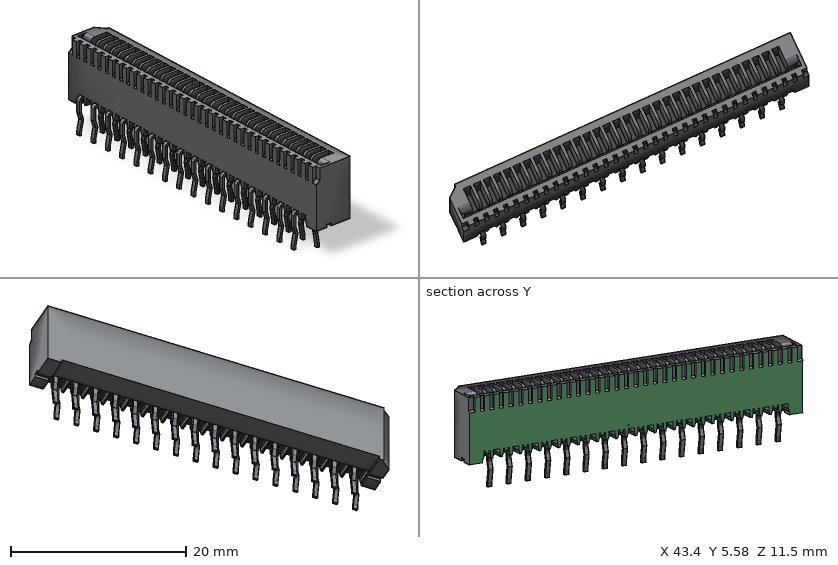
import cadquery as cq


LENGTH = 43.4
DEPTH = 5.08
HEIGHT = 8.0
HALF_LENGTH = LENGTH / 2
EPS = 0.45

CONTACT_COUNT = 32
CONTACT_SPAN = 38.75
PITCH = CONTACT_SPAN / (CONTACT_COUNT - 1)
CONTACT_XS = [(i - (CONTACT_COUNT - 1) / 2) * PITCH for i in range(CONTACT_COUNT)]

CORNER_X = 1.17
CORNER_Y = 0.95
CORNER_STEP = 0.25

GROOVE_WIDTH = 0.48
GROOVE_DEPTH = 0.5
GROOVE_HEIGHT = 2.0
GROOVE_FLOOR_RISE = 0.45

SLOT_INSET = 0.45
SLOT_MOUTH_FRONT = 1.05
LEAD_IN = 0.4
LEAD_IN_DEPTH = 1.2
END_TAPER = 0.35
SLOT_FRONT = SLOT_MOUTH_FRONT + LEAD_IN
SLOT_REAR = 1.7
SLOT_ROUND = 0.7
SLOT_DEPTH = 5.2
CAVITY_REAR = 4.15
CAVITY_WIDTH = 0.85
CAVITY_DEPTH = 4.77

FOOT_HEIGHT = 0.4
FOOT_LENGTH = 1.75
CHANNEL_FRONT = 1.55
CHANNEL_REAR = 2.2
EXIT_TOP = 1.35
EXIT_WIDTH = 0.75
EXIT_FLARE_TOP = 0.82
EXIT_MOUTH_WIDTH = 1.05

TAIL_WIDTH = 0.5
TAIL_THICKNESS = 0.3
TAIL_TIP = -3.5
TAIL_STRAIGHT_END = -3.0
KINK_HEIGHT = 0.9
FRONT_KINK_OFFSET = 0.3
REAR_KINK_OFFSET = 0.25
FRONT_KINK_TOP = -0.65
REAR_KINK_TOP = -0.5
BEND_RADIUS = 0.5


def box(x_min, x_max, y_min, y_max, z_min, z_max):
    size = (x_max - x_min, y_max - y_min, z_max - z_min)
    return cq.Workplane("XY").box(*size, centered=False).translate((x_min, y_min, z_min))


def at_each(shape, xs):
    """One compound with a copy of the shape at every X."""
    return cq.Workplane(cq.Compound.makeCompound([shape.translate((x, 0, 0)).val() for x in xs]))


def extrude_along_x(profile_yz, width):
    """Extrude a closed YZ profile symmetrically about X = 0."""
    return profile_yz.extrude(width / 2, both=True)


def housing_block():
    step_y = DEPTH - CORNER_STEP
    outline = [
        (-HALF_LENGTH, 0),
        (HALF_LENGTH, 0),
        (HALF_LENGTH, DEPTH),
        (-HALF_LENGTH + CORNER_X, DEPTH),
        (-HALF_LENGTH + CORNER_X, step_y),
        (-HALF_LENGTH, step_y - CORNER_Y),
    ]
    return cq.Workplane("XY").polyline(outline).close().extrude(HEIGHT)


def front_grooves():
    """Grooves midway between contacts, with a wider one running off each end."""
    def groove(width):
        profile = [
            (0, HEIGHT - GROOVE_HEIGHT),
            (GROOVE_DEPTH, HEIGHT - GROOVE_HEIGHT + GROOVE_FLOOR_RISE),
            (GROOVE_DEPTH, HEIGHT + EPS),
            (-EPS, HEIGHT + EPS),
            (-EPS, HEIGHT - GROOVE_HEIGHT),
        ]
        return extrude_along_x(cq.Workplane("YZ").polyline(profile).close(), width)

    xs = [(i - CONTACT_COUNT / 2) * PITCH for i in range(CONTACT_COUNT + 1)]
    end_groove_inner = xs[-1] + PITCH - GROOVE_WIDTH / 2
    end_width = 2 * (HALF_LENGTH - end_groove_inner)
    return at_each(groove(GROOVE_WIDTH), xs), at_each(groove(end_width), [-HALF_LENGTH, HALF_LENGTH])


def card_slot():
    """Slot with a sloped lead-in at the front and the ends and a rounded rear lip."""
    mouth_half = HALF_LENGTH - SLOT_INSET
    profile = (
        cq.Workplane("YZ")
        .moveTo(SLOT_FRONT, HEIGHT - SLOT_DEPTH)
        .lineTo(SLOT_FRONT, HEIGHT - LEAD_IN_DEPTH)
        .lineTo(SLOT_MOUTH_FRONT, HEIGHT)
        .lineTo(SLOT_REAR + SLOT_ROUND, HEIGHT)
        .radiusArc((SLOT_REAR, HEIGHT - SLOT_ROUND), -SLOT_ROUND)
        .lineTo(SLOT_REAR, HEIGHT - SLOT_DEPTH)
        .close()
    )
    throat_half = mouth_half - LEAD_IN
    floor_half = throat_half - END_TAPER
    throat_z = HEIGHT - LEAD_IN_DEPTH
    end_outline = [
        (-floor_half, HEIGHT - SLOT_DEPTH),
        (floor_half, HEIGHT - SLOT_DEPTH),
        (throat_half, throat_z),
        (mouth_half, HEIGHT),
        (-mouth_half, HEIGHT),
        (-throat_half, throat_z),
    ]
    slot_ends = cq.Workplane("XZ").polyline(end_outline).close().extrude(-SLOT_REAR)
    lip = box(-mouth_half, mouth_half, SLOT_REAR, DEPTH, HEIGHT - SLOT_ROUND, HEIGHT)
    return extrude_along_x(profile, 2 * mouth_half).intersect(slot_ends.union(lip))


def contact_cavities():
    half = CAVITY_WIDTH / 2
    cavity = box(-half, half, SLOT_REAR, CAVITY_REAR, HEIGHT - CAVITY_DEPTH, HEIGHT + EPS)
    return at_each(cavity, CONTACT_XS)


def underside_recess():
    """Raised underside between the end feet."""
    half = HALF_LENGTH - FOOT_LENGTH
    return box(-half, half, -EPS, DEPTH + EPS, -EPS, FOOT_HEIGHT)


def underside_channel():
    """Channel along the whole length, where the rear tails come out."""
    return box(-HALF_LENGTH - EPS, HALF_LENGTH + EPS, CHANNEL_FRONT, CHANNEL_REAR, -EPS, FOOT_HEIGHT)


def tail_exits():
    """Slots in the front wall, flared towards the bottom, one for each tail."""
    half_top = EXIT_WIDTH / 2
    half_mouth = EXIT_MOUTH_WIDTH / 2
    outline = [
        (-half_top, EXIT_TOP),
        (half_top, EXIT_TOP),
        (half_top, EXIT_FLARE_TOP),
        (half_mouth, FOOT_HEIGHT),
        (-half_mouth, FOOT_HEIGHT),
        (-half_top, EXIT_FLARE_TOP),
    ]
    slot = cq.Workplane("XZ").polyline(outline).close().extrude(-CHANNEL_REAR)
    return at_each(slot, CONTACT_XS)


def front_tail():
    """Arm out of the front wall, bent down, then kinked inwards."""
    outer = -BEND_RADIUS
    inner = outer + TAIL_THICKNESS
    bend_z = EXIT_TOP - BEND_RADIUS
    inner_radius = BEND_RADIUS - TAIL_THICKNESS
    crest_z = FRONT_KINK_TOP - KINK_HEIGHT
    profile = (
        cq.Workplane("YZ")
        .moveTo(CHANNEL_REAR, EXIT_TOP)
        .lineTo(0, EXIT_TOP)
        .radiusArc((outer, bend_z), -BEND_RADIUS)
        .lineTo(outer, FRONT_KINK_TOP)
        .lineTo(outer + FRONT_KINK_OFFSET, crest_z)
        .lineTo(outer, TAIL_STRAIGHT_END)
        .lineTo(outer, TAIL_TIP)
        .lineTo(inner, TAIL_TIP)
        .lineTo(inner, TAIL_STRAIGHT_END)
        .lineTo(inner + FRONT_KINK_OFFSET, crest_z)
        .lineTo(inner, FRONT_KINK_TOP)
        .lineTo(inner, bend_z)
        .radiusArc((0, bend_z + inner_radius), inner_radius)
        .lineTo(CHANNEL_REAR, bend_z + inner_radius)
        .close()
    )
    return extrude_along_x(profile, TAIL_WIDTH)


def rear_tail():
    """Tail straight down the back of its exit slot, kinked towards the front."""
    rear = CHANNEL_REAR
    front = rear - TAIL_THICKNESS
    crest_z = REAR_KINK_TOP - KINK_HEIGHT
    profile = [
        (front, EXIT_TOP),
        (front, REAR_KINK_TOP),
        (front - REAR_KINK_OFFSET, crest_z),
        (front, TAIL_STRAIGHT_END),
        (front, TAIL_TIP),
        (rear, TAIL_TIP),
        (rear, TAIL_STRAIGHT_END),
        (rear - REAR_KINK_OFFSET, crest_z),
        (rear, REAR_KINK_TOP),
        (rear, EXIT_TOP),
    ]
    return extrude_along_x(cq.Workplane("YZ").polyline(profile).close(), TAIL_WIDTH)


housing = housing_block()
for grooves in front_grooves():
    housing = housing.cut(grooves)
housing = housing.cut(card_slot()).cut(contact_cavities())
housing = housing.cut(underside_recess()).cut(underside_channel()).cut(tail_exits())

front_tails = at_each(front_tail(), CONTACT_XS[0::2])
rear_tails = at_each(rear_tail(), CONTACT_XS[1::2])
result = housing.union(front_tails).union(rear_tails)